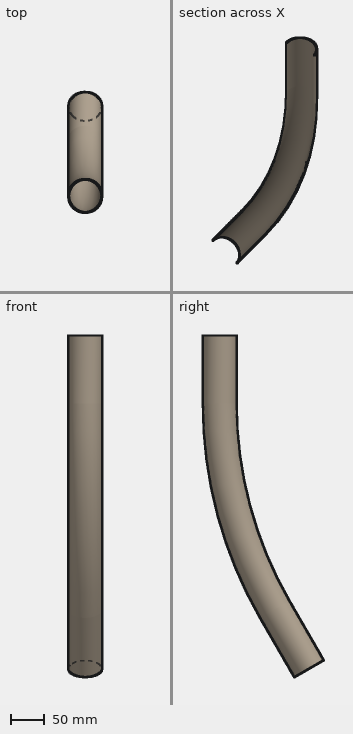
import cadquery as cq
import math

overall_height = 507.0
outer_diameter = 50.5
inner_diameter = 47.5
straight_length = 101.5
bend_angle = 30.0

sin_bend = math.sin(math.radians(bend_angle))
cos_bend = math.cos(math.radians(bend_angle))
lower_end_drop = straight_length * cos_bend + outer_diameter / 2 * sin_bend
bend_radius = (overall_height - straight_length - lower_end_drop) / sin_bend


def bend_point(angle):
    """Centreline point (Y, Z) at an angle in degrees past the start of the bend."""
    turn = math.radians(angle)
    y = bend_radius * (1 - math.cos(turn))
    z = overall_height - straight_length - bend_radius * math.sin(turn)
    return y, z


bend_end_y, bend_end_z = bend_point(bend_angle)
lower_end = (
    bend_end_y + straight_length * sin_bend,
    bend_end_z - straight_length * cos_bend,
)
centreline = (
    cq.Workplane("YZ")
    .moveTo(0, overall_height)
    .lineTo(*bend_point(0))
    .threePointArc(bend_point(bend_angle / 2), (bend_end_y, bend_end_z))
    .lineTo(*lower_end)
)

result = (
    cq.Workplane("XY", origin=(0, 0, overall_height))
    .circle(outer_diameter / 2)
    .circle(inner_diameter / 2)
    .sweep(centreline)
)